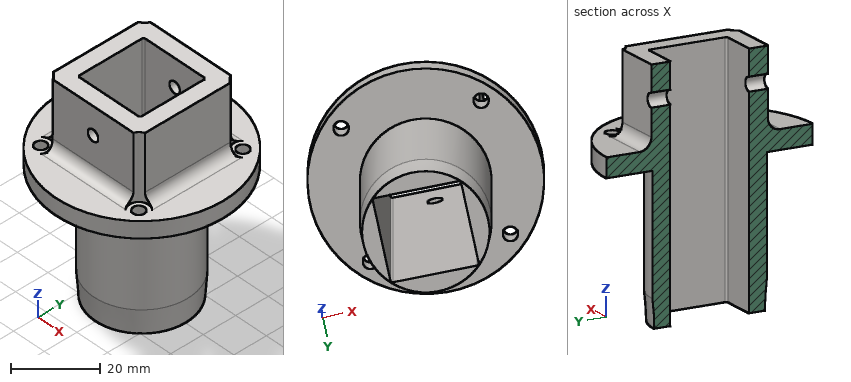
import cadquery as cq

flange_diameter = 53.0
flange_thickness = 5.0

socket_width = 30.0
socket_height = 20.0
socket_foot_radius = 3.0

passage_width = 20.2
passage_corner_radius = 0.5

spigot_diameter = 29.5
spigot_length = 37.0
tip_diameter = 28.5
tip_length = 7.2

hole_diameter = 3.4
screw_spacing = 32.0
screw_head_diameter = 6.0
pin_height = 11.6

spigot_bottom = -flange_thickness - spigot_length
overall_height = socket_height - spigot_bottom


def make_flange():
    return cq.Workplane("XY").circle(flange_diameter / 2).extrude(-flange_thickness)


def make_spigot():
    """Straight cylinder ending in a shallow cone."""
    straight_length = spigot_length - tip_length
    straight = cq.Workplane("XY", origin=(0, 0, -flange_thickness)).circle(spigot_diameter / 2)
    tip = (
        cq.Workplane("XY", origin=(0, 0, spigot_bottom + tip_length))
        .circle(spigot_diameter / 2)
        .workplane(offset=-tip_length)
        .circle(tip_diameter / 2)
        .loft(ruled=True)
    )
    return straight.extrude(-straight_length).union(tip)


def add_socket(body):
    """Square block blended into the flange by a concave fillet around its foot."""
    socket = cq.Workplane("XY").rect(socket_width, socket_width).extrude(socket_height)
    reach = socket_width / 2 + socket_foot_radius / 2
    foot_edges = cq.selectors.BoxSelector(
        (-reach, -reach, -socket_foot_radius / 2),
        (reach, reach, socket_foot_radius / 2),
    )
    return body.union(socket).edges(foot_edges).edges("|X or |Y").fillet(socket_foot_radius)


def screw_positions(height):
    """Workplane with one point at each of the four screws."""
    return (
        cq.Workplane("XY", origin=(0, 0, height))
        .rect(screw_spacing, screw_spacing, forConstruction=True)
        .vertices()
    )


def make_screw_cutters():
    """Through holes in the flange and head clearance grooves up the socket corners."""
    holes = screw_positions(-flange_thickness).circle(hole_diameter / 2).extrude(flange_thickness)
    clearances = screw_positions(0).circle(screw_head_diameter / 2).extrude(socket_height)
    return holes.union(clearances)


def make_passage():
    return (
        cq.Workplane("XY", origin=(0, 0, spigot_bottom))
        .rect(passage_width, passage_width)
        .extrude(overall_height)
        .edges("|Z")
        .fillet(passage_corner_radius)
    )


def make_pin_hole():
    """Cross hole through both Y walls of the socket."""
    return (
        cq.Workplane("XZ", origin=(0, 0, pin_height))
        .circle(hole_diameter / 2)
        .extrude(socket_width / 2, both=True)
    )


body = add_socket(make_flange())
body = body.union(make_spigot())
result = body.cut(make_screw_cutters()).cut(make_passage()).cut(make_pin_hole())